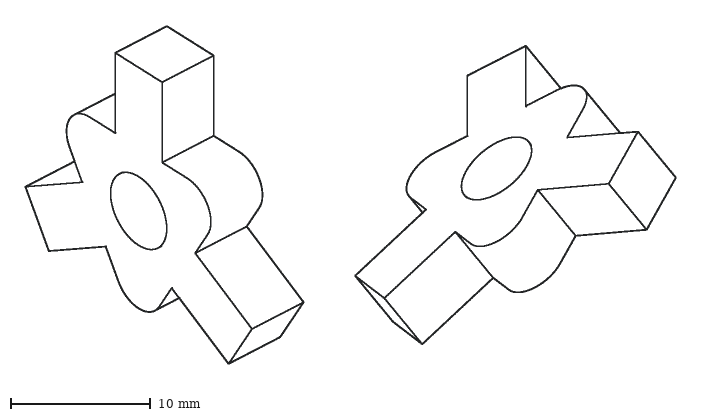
import cadquery as cq
import math

overall_width = 24.15
thickness = 5.0
arm_width = 5.0
hub_flat_distance = 5.5
lobe_reach = 8.5
bore_diameter = 6.0
arm_count = 3

arm_slope = math.radians(30)
arm_reach = (overall_width / 2 - arm_width / 2 * math.sin(arm_slope)) / math.cos(arm_slope)
corner_distance = 2 * hub_flat_distance
lobe_radius = corner_distance - lobe_reach


def make_hub():
    """Triangular hub with a flat top, one corner down and rounded corners."""
    corners = []
    for index in range(arm_count):
        angle = math.radians(-90 + index * 360 / arm_count)
        corners.append((corner_distance * math.cos(angle), corner_distance * math.sin(angle)))
    prism = cq.Workplane("XZ").polyline(corners).close().extrude(thickness / 2, both=True)
    return prism.edges("|Y").fillet(lobe_radius)


def make_arm(angle):
    """Straight arm from the axis outward, turned about Y from the upright position."""
    upright = cq.Workplane("XY").box(arm_width, thickness, arm_reach, centered=(True, True, False))
    return upright.rotate((0, 0, 0), (0, 1, 0), angle)


body = make_hub()
for arm_index in range(arm_count):
    body = body.union(make_arm(arm_index * 360 / arm_count))

bore = cq.Workplane("XZ").circle(bore_diameter / 2).extrude(thickness, both=True)
result = body.cut(bore)